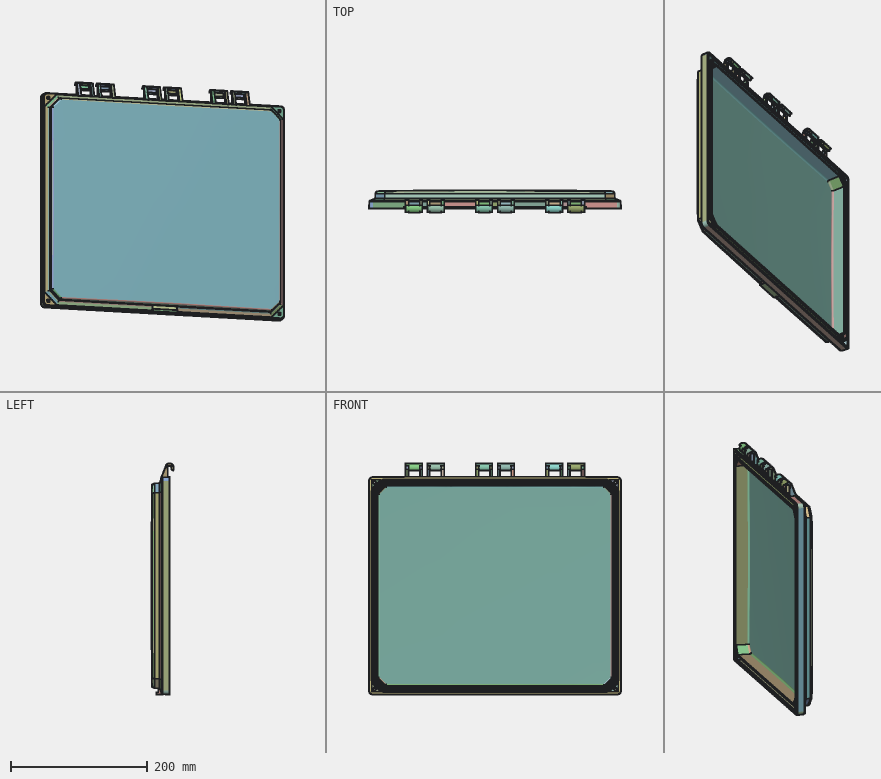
import cadquery as cq
import math

WIDTH = 370.2
HEIGHT = 319.5
CORNER_RADIUS = 6.3
RIM_DRAFT = 0.5
RIM_DEPTH = 10.0
RIM_CHAMFER = 1.5
FLANGE_DEPTH = 12.2

FACET_INSET = 2.2
FACET_CUT = 18.0
PAN_INSET = 9.3
PAN_DEPTH = 27.5
PAN_WALL_DEPTH = 22.0
PAN_BEVEL_SLOPE = 0.5
PAN_EDGE_RADIUS = 2.2
FLOOR_DEPTH = 22.5
CAVITY_INSET = 13.0
FLOOR_FILLET = 2.5
DOME_RADIUS = 9996.2
SKIRT_STEPS = ((2.5, FLANGE_DEPTH), (7.0, 14.0), (PAN_INSET, 15.5))

SEAL_INSET = 3.5
SEAL_PITCH = 1.0
SEAL_EDGES = 8
LEDGE_DEPTH = 1.0
CHANNEL_DEPTH = 8.5
BEAD_HEIGHT = 4.5

POCKET_INSET = 4.0
POCKET_LEG = 13.5
POCKET_DEPTH = 7.5
HOLE_INSET = 8.0
HOLE_DIAMETER = 4.0

PAIR_PITCH = 103.0
PAIR_GAP = 7.5
HOOK_WIDTH = 24.8
OUTER_RIB = 4.8
INNER_RIB = 3.7
HOOK_TOP = 339.5
HOOK_RADIUS = 6.5
HOOK_BORE_RADIUS = 3.0
HOOK_AXIS_Y = 0.5
HOOK_AXIS_Z = HOOK_TOP - HOOK_RADIUS
BARREL_START_ANGLE = 45
BARREL_END_ANGLE = 218
RIB_LIP_RISE = 3.5
RIB_FRONT = 2.5
RIB_FOOT_Y = 13.5
RIB_FOOT_Z = 316.5
RIB_BACK_BEND = (9.3, 326.5)

RAIL_LENGTH = 268.0
RAIL_DEPTH = 2.5
RAIL_HEIGHT = 0.5

LATCH_WIDTH = 37.0
LATCH_BASE_HEIGHT = 10.0
LATCH_BASE_DEPTH = 17.0
LATCH_LIP_HEIGHT = 3.7
LATCH_LIP_DEPTH = 19.5


def facing_back(depth):
    """Plane across the lid at a depth: its normal is +Y and its local y is Z."""
    return cq.Workplane(cq.Plane((0, depth, HEIGHT / 2), xDir=(-1, 0, 0), normal=(0, 1, 0)))


def rounded(depth, inset):
    outline = cq.Sketch().rect(WIDTH - 2 * inset, HEIGHT - 2 * inset).vertices().fillet(CORNER_RADIUS - inset)
    return facing_back(depth).placeSketch(outline)


def octagon_points(inset):
    half_x = WIDTH / 2 - inset
    half_z = HEIGHT / 2 - inset
    cut = FACET_CUT - (inset - FACET_INSET) * (2 - math.sqrt(2))
    return [
        (half_x - cut, half_z), (half_x, half_z - cut), (half_x, cut - half_z), (half_x - cut, -half_z),
        (cut - half_x, -half_z), (-half_x, cut - half_z), (-half_x, half_z - cut), (cut - half_x, half_z),
    ]


def octagon(depth, inset):
    return facing_back(depth).polyline(octagon_points(inset)).close()


def tapered(start, depth, inset_gain):
    return start.extrude(depth, taper=math.degrees(math.atan(inset_gain / depth)))


def dome(crown):
    """Large ball whose crown touches the given depth at the middle of the lid."""
    return cq.Workplane("XY").sphere(DOME_RADIUS).translate((0, crown - DOME_RADIUS, HEIGHT / 2))


def lid_body():
    rim = tapered(rounded(0, 0), RIM_DEPTH, RIM_DRAFT)
    bevel = tapered(rounded(RIM_DEPTH, RIM_DRAFT), FLANGE_DEPTH - RIM_DEPTH, RIM_CHAMFER)
    bevel_depth = PAN_DEPTH + 2.0 - PAN_WALL_DEPTH
    pan = octagon(0, PAN_INSET).extrude(PAN_WALL_DEPTH)
    pan = pan.union(tapered(octagon(PAN_WALL_DEPTH, PAN_INSET), bevel_depth, PAN_BEVEL_SLOPE * bevel_depth))
    pan = pan.intersect(dome(PAN_DEPTH))
    pan = pan.faces(">Y").edges().fillet(PAN_EDGE_RADIUS)
    cavity = octagon(0, CAVITY_INSET).extrude(PAN_DEPTH).intersect(dome(FLOOR_DEPTH))
    cavity = cavity.faces(">Y").edges().fillet(FLOOR_FILLET)
    body = rim.union(bevel).union(pan)
    for (outer, start), (inner, end) in zip(SKIRT_STEPS, SKIRT_STEPS[1:]):
        body = body.union(tapered(octagon(start, outer), end - start, inner - outer))
    return body.cut(cavity)


def seal_groove():
    """Groove to cut: the edges of its section are counted inwards from the rim."""
    edges = [SEAL_INSET + SEAL_PITCH * step for step in range(SEAL_EDGES)]
    ledge = octagon(0, edges[0]).extrude(LEDGE_DEPTH).cut(octagon(0, edges[-1]).extrude(LEDGE_DEPTH))
    channel = octagon(0, edges[1]).extrude(CHANNEL_DEPTH).cut(octagon(0, edges[-2]).extrude(CHANNEL_DEPTH))
    bead_top = CHANNEL_DEPTH - BEAD_HEIGHT
    bead = tapered(octagon(bead_top, edges[3]), BEAD_HEIGHT, -SEAL_PITCH)
    bead = bead.cut(tapered(octagon(bead_top, edges[4]), BEAD_HEIGHT, SEAL_PITCH))
    return ledge.union(channel).cut(bead)


def corner_cuts():
    corner_x = WIDTH / 2 - POCKET_INSET
    corner_z = HEIGHT / 2 - POCKET_INSET
    pocket = facing_back(0).polyline([
        (corner_x, corner_z), (corner_x - POCKET_LEG, corner_z), (corner_x, corner_z - POCKET_LEG),
    ]).close().extrude(POCKET_DEPTH)
    hole = (
        facing_back(0).center(WIDTH / 2 - HOLE_INSET, HEIGHT / 2 - HOLE_INSET)
        .circle(HOLE_DIAMETER / 2).extrude(PAN_DEPTH)
    )
    side = pocket.union(hole)
    side = side.union(side.mirror("YZ"))
    return side.union(side.mirror("XY", (0, 0, HEIGHT / 2)))


def along_x(x_start):
    """Plane across the hooks: local x is Y, local y is Z, extrusion runs to +X."""
    return cq.Workplane("YZ", origin=(x_start, 0, 0))


def on_hook(radius, angle):
    """Point at an angle around the hook axis, counted from the back over the top."""
    turn = math.radians(angle)
    return (HOOK_AXIS_Y + radius * math.cos(turn), HOOK_AXIS_Z + radius * math.sin(turn))


def barrel():
    """Solid sector that the bore turns into a hook."""
    middle_angle = (BARREL_START_ANGLE + BARREL_END_ANGLE) / 2
    return (
        along_x(0).moveTo(HOOK_AXIS_Y, HOOK_AXIS_Z).lineTo(*on_hook(HOOK_RADIUS, BARREL_START_ANGLE))
        .threePointArc(on_hook(HOOK_RADIUS, middle_angle), on_hook(HOOK_RADIUS, BARREL_END_ANGLE))
        .close().extrude(HOOK_WIDTH)
    )


def rib(x_start, thickness):
    return (
        along_x(x_start).moveTo(RIB_FRONT, RIB_FOOT_Z).lineTo(RIB_FRONT, HOOK_AXIS_Z)
        .lineTo(*on_hook(HOOK_BORE_RADIUS / 2, BARREL_START_ANGLE))
        .lineTo(*on_hook(HOOK_RADIUS, BARREL_START_ANGLE))
        .threePointArc(RIB_BACK_BEND, (RIB_FOOT_Y, RIB_FOOT_Z)).close().extrude(thickness)
    )


def lip_notch(x_start, thickness):
    """Block that shortens the lip of the barrel where it passes in front of a rib."""
    size = 2 * HOOK_RADIUS
    block = cq.Workplane("XY").box(thickness, size, size, centered=False)
    return block.translate((x_start, HOOK_AXIS_Y - size, HOOK_AXIS_Z + RIB_LIP_RISE - size))


def hinge_pair():
    hook = barrel()
    for x_start, thickness in ((0, INNER_RIB), (HOOK_WIDTH - OUTER_RIB, OUTER_RIB)):
        hook = hook.cut(lip_notch(x_start, thickness)).union(rib(x_start, thickness))
    bore = along_x(0).center(HOOK_AXIS_Y, HOOK_AXIS_Z).circle(HOOK_BORE_RADIUS).extrude(HOOK_WIDTH)
    hook = hook.cut(bore).translate((PAIR_GAP / 2, 0, 0))
    return hook.union(hook.mirror("YZ"))


def centred_bar(width, start, end, bottom, height):
    """Bar centred in X that fills the depths from start to end."""
    bar = cq.Workplane("XY").box(width, end - start, height, centered=(True, False, False))
    return bar.translate((0, start, bottom))


def rail():
    root = HEIGHT - SEAL_INSET
    return centred_bar(RAIL_LENGTH, 0, RAIL_DEPTH, root, SEAL_INSET + RAIL_HEIGHT)


def latch():
    base = centred_bar(LATCH_WIDTH, RIM_DEPTH, LATCH_BASE_DEPTH, 0, LATCH_BASE_HEIGHT)
    return base.union(centred_bar(LATCH_WIDTH, RIM_DEPTH, LATCH_LIP_DEPTH, 0, LATCH_LIP_HEIGHT))


result = lid_body().cut(seal_groove()).cut(corner_cuts()).union(rail()).union(latch())
for pair in (-1, 0, 1):
    result = result.union(hinge_pair().translate((pair * PAIR_PITCH, 0, 0)))